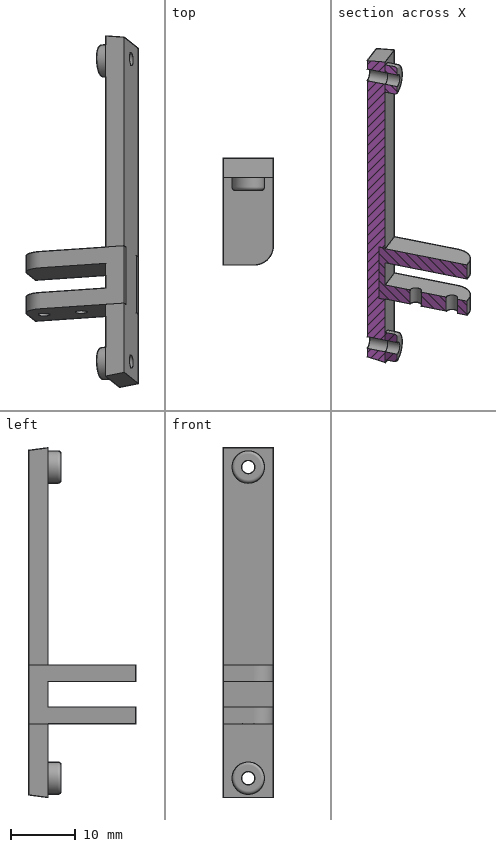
import cadquery as cq

bar_width = 7.78
bar_thickness = 3.0
bar_height = 54.0
end_slope_rise = 0.4
center_x = bar_width / 2

bushing_diameter = 5.0
bushing_length = 2.0
bushing_round = 0.5
bore_diameter = 2.0
bushing_end_distance = 3.0
bushing_heights = (bushing_end_distance, bar_height - bushing_end_distance)

clevis_reach = 16.51
clevis_bottom = 11.4
arm_thickness = 2.6
arm_gap = 3.9
arm_corner_radius = 3.0
clevis_height = 2 * arm_thickness + arm_gap
arm_bottoms = (clevis_bottom, clevis_bottom + arm_thickness + arm_gap)

saddle_wall = 1.0
neck_width = bar_width - 2 * saddle_wall
neck_depth = bar_thickness - saddle_wall

arm_hole_diameter = 1.8
outer_hole_inset = 2.5
hole_spacing = 6.0
hole_insets = (outer_hole_inset, outer_hole_inset + hole_spacing)


def block(width, depth, bottom, height):
    """Block centred across the bar, running forward from the bar's back face."""
    return (
        cq.Workplane("XY")
        .box(width, depth, height, centered=(True, False, False))
        .translate((center_x, -depth, bottom))
    )


def front_cylinder(diameter, back_y, length, height):
    """Cylinder on the bar's centre line, running toward -Y from back_y."""
    return (
        cq.Workplane("XZ", origin=(center_x, back_y, height))
        .circle(diameter / 2)
        .extrude(length)
    )


def make_bar():
    body = (
        cq.Workplane("YZ")
        .polyline([
            (0, end_slope_rise),
            (-bar_thickness, 0),
            (-bar_thickness, bar_height),
            (0, bar_height - end_slope_rise),
        ])
        .close()
        .extrude(bar_width)
    )
    body = body.cut(block(bar_width, bar_thickness, clevis_bottom, clevis_height))
    body = body.union(block(neck_width, neck_depth, clevis_bottom, clevis_height))
    for height in bushing_heights:
        body = body.cut(front_cylinder(bore_diameter, 0, bar_thickness, height))
    return body


def make_bushing(height):
    body = front_cylinder(bushing_diameter, -bar_thickness, bushing_length, height)
    body = body.faces("<Y").edges().fillet(bushing_round)
    return body.cut(front_cylinder(bore_diameter, -bar_thickness, bushing_length, height))


def make_clevis():
    body = block(bar_width, bar_thickness, clevis_bottom, clevis_height)
    for bottom in arm_bottoms:
        arm = block(bar_width, clevis_reach, bottom, arm_thickness)
        arm = arm.edges("|Z and >X and <Y").fillet(arm_corner_radius)
        body = body.union(arm)
    body = body.cut(block(neck_width, neck_depth, clevis_bottom, clevis_height))
    holes = (
        cq.Workplane("XY", origin=(0, 0, clevis_bottom))
        .pushPoints([(center_x, inset - clevis_reach) for inset in hole_insets])
        .circle(arm_hole_diameter / 2)
        .extrude(arm_thickness)
    )
    return body.cut(holes)


bar = make_bar()
clevis = make_clevis()
bushings = [make_bushing(height) for height in bushing_heights]

result = cq.Compound.makeCompound([
    *bar.solids().vals(),
    *clevis.solids().vals(),
    *[bushing.solids().val() for bushing in bushings],
])